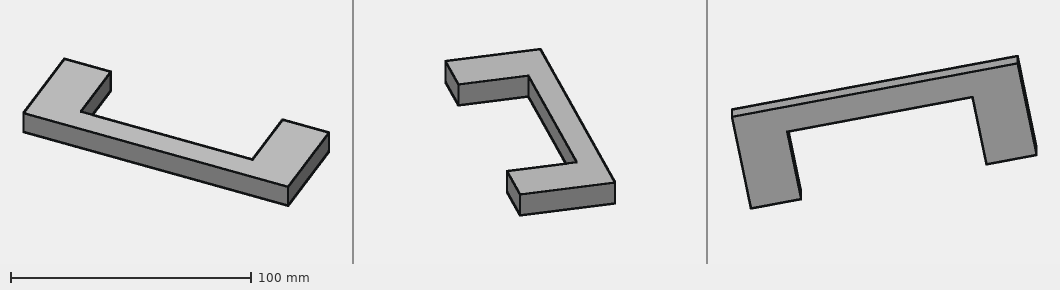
import cadquery as cq

length = 121.3
depth = 41.0
thickness = 10.0

leg_width = 21.3
bar_width = 10.9

opening_length = length - 2 * leg_width
opening_depth = depth - bar_width

plate = cq.Workplane("XY").box(length, depth, thickness)
opening = (
    cq.Workplane("XY")
    .box(opening_length, opening_depth, thickness)
    .translate((0, bar_width / 2, 0))
)

result = plate.cut(opening)